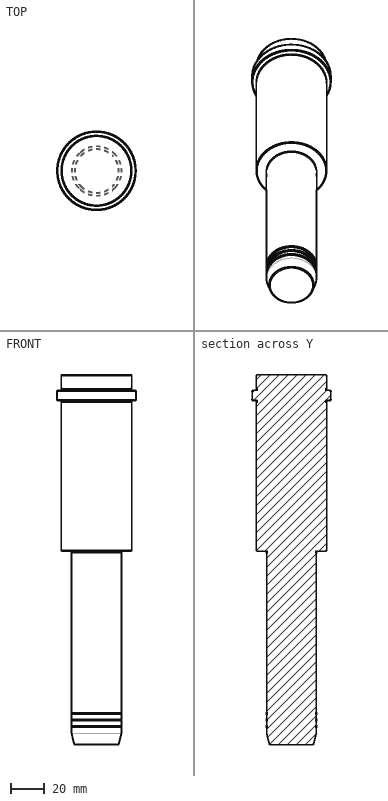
import cadquery as cq

total_height = 220.0
body_radius = 21.0
shank_radius = 15.0
shank_length = 115.0
edge_chamfer = 0.5

collar_radius = 23.5
collar_height = 6.2
collar_top = 210.8
collar_bottom = collar_top - collar_height

nose_height = 7.0
nose_end_radius = 13.2
foot_chamfer = 0.5

ring_count = 3
ring_pitch = 4.0
lowest_ring_bottom = 10.3

groove_width = 0.9
groove_depth = 0.5


def cylinder(radius, bottom, top):
    """Upright cylinder on the Z axis between two heights."""
    return cq.Workplane("XY").workplane(offset=bottom).circle(radius).extrude(top - bottom)


def make_shank():
    """Slender shank with its foot tapered to a blunt nose."""
    return (
        cq.Workplane("XZ")
        .moveTo(0, 0)
        .lineTo(nose_end_radius, 0)
        .lineTo(shank_radius, nose_height)
        .lineTo(shank_radius, shank_length)
        .lineTo(0, shank_length)
        .close()
        .revolve(360, (0, 0, 0), (0, 1, 0))
        .faces("<Z")
        .chamfer(foot_chamfer)
    )


def make_chamfered_disc(radius, bottom, top):
    """Cylinder with both rims chamfered."""
    return cylinder(radius, bottom, top).faces("<Z or >Z").chamfer(edge_chamfer)


def make_groove(radius, bottom):
    """Ring that cuts one shallow groove into a cylinder of the given radius."""
    top = bottom + groove_width
    return cylinder(radius + groove_depth, bottom, top).cut(cylinder(radius - groove_depth, bottom, top))


body = make_chamfered_disc(body_radius, shank_length, total_height)
collar = make_chamfered_disc(collar_radius, collar_bottom, collar_top)
result = make_shank().union(body).union(collar)

for index in range(ring_count):
    result = result.cut(make_groove(shank_radius, lowest_ring_bottom + index * ring_pitch))

relief_places = [
    (body_radius, collar_top),
    (body_radius, collar_bottom - groove_width),
    (shank_radius, shank_length - groove_width),
]
for radius, bottom in relief_places:
    result = result.cut(make_groove(radius, bottom))